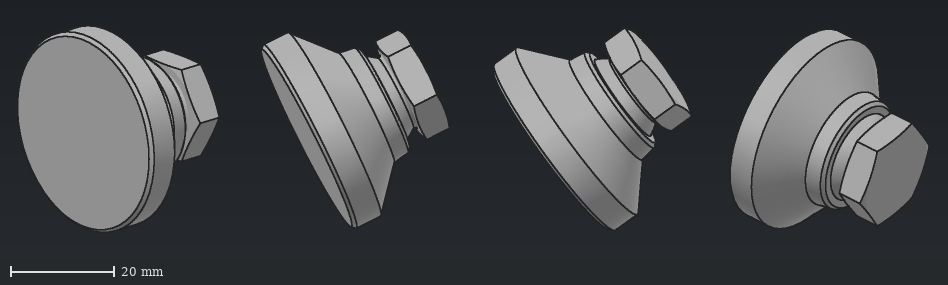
import cadquery as cq
import math


PAD_RADIUS = 20.0
PAD_CHAMFER = 0.7
RIM_TOP_Y = 6.0
COLLAR_BASE_RADIUS = 12.0
COLLAR_BASE_Y = 13.0
COLLAR_TOP_RADIUS = 11.5
COLLAR_TOP_Y = 17.0
COLLAR_CHAMFER = 0.7

BALL_RADIUS = 10.0
BALL_CENTER_Y = 13.0
NECK_RADIUS = 7.7
NECK_FLARE = 0.5

HEAD_BASE_Y = 20.2
HEAD_TOP_Y = 26.0
HEAD_ACROSS_FLATS = 19.0
HEAD_CHAMFER_ANGLE = 15.0


def revolve_about_axis(profile):
    """Turn a closed (radius, y) profile once around the Y axis."""
    return profile.close().revolve(360, (0, 0, 0), (0, 1, 0))


def make_pad():
    profile = (
        cq.Workplane("XY")
        .lineTo(PAD_RADIUS - PAD_CHAMFER, 0)
        .lineTo(PAD_RADIUS, PAD_CHAMFER)
        .lineTo(PAD_RADIUS, RIM_TOP_Y)
        .lineTo(COLLAR_BASE_RADIUS, COLLAR_BASE_Y)
        .lineTo(COLLAR_TOP_RADIUS, COLLAR_TOP_Y - COLLAR_CHAMFER)
        .lineTo(COLLAR_TOP_RADIUS - COLLAR_CHAMFER, COLLAR_TOP_Y)
        .lineTo(0, COLLAR_TOP_Y)
    )
    return revolve_about_axis(profile)


def make_ball_and_neck():
    """Ball zone from its equator to the neck, which flares out under the head."""
    neck_angle = math.acos(NECK_RADIUS / BALL_RADIUS)
    neck_y = BALL_CENTER_Y + BALL_RADIUS * math.sin(neck_angle)
    ball_middle = (
        BALL_RADIUS * math.cos(neck_angle / 2),
        BALL_CENTER_Y + BALL_RADIUS * math.sin(neck_angle / 2),
    )
    flare_y = HEAD_BASE_Y - NECK_FLARE
    flare_middle = (
        NECK_RADIUS + NECK_FLARE * (1 - math.cos(math.radians(45))),
        flare_y + NECK_FLARE * math.sin(math.radians(45)),
    )
    profile = (
        cq.Workplane("XY")
        .moveTo(0, BALL_CENTER_Y)
        .lineTo(BALL_RADIUS, BALL_CENTER_Y)
        .threePointArc(ball_middle, (NECK_RADIUS, neck_y))
        .lineTo(NECK_RADIUS, flare_y)
        .threePointArc(flare_middle, (NECK_RADIUS + NECK_FLARE, HEAD_BASE_Y))
        .lineTo(0, HEAD_BASE_Y)
    )
    return revolve_about_axis(profile)


def make_head():
    """Hexagon with two corners on the X axis, its corners turned off at both ends."""
    flat_radius = HEAD_ACROSS_FLATS / 2
    corner_radius = flat_radius / math.cos(math.radians(30))
    chamfer_height = (corner_radius - flat_radius) * math.tan(math.radians(HEAD_CHAMFER_ANGLE))
    hexagon = (
        cq.Workplane("XZ", origin=(0, HEAD_TOP_Y, 0))
        .polygon(6, 2 * corner_radius)
        .extrude(HEAD_TOP_Y - HEAD_BASE_Y)
    )
    turned_envelope = (
        cq.Workplane("XY")
        .moveTo(0, HEAD_BASE_Y)
        .lineTo(flat_radius, HEAD_BASE_Y)
        .lineTo(corner_radius, HEAD_BASE_Y + chamfer_height)
        .lineTo(corner_radius, HEAD_TOP_Y - chamfer_height)
        .lineTo(flat_radius, HEAD_TOP_Y)
        .lineTo(0, HEAD_TOP_Y)
    )
    return hexagon.intersect(revolve_about_axis(turned_envelope))


result = make_pad().union(make_ball_and_neck()).union(make_head())